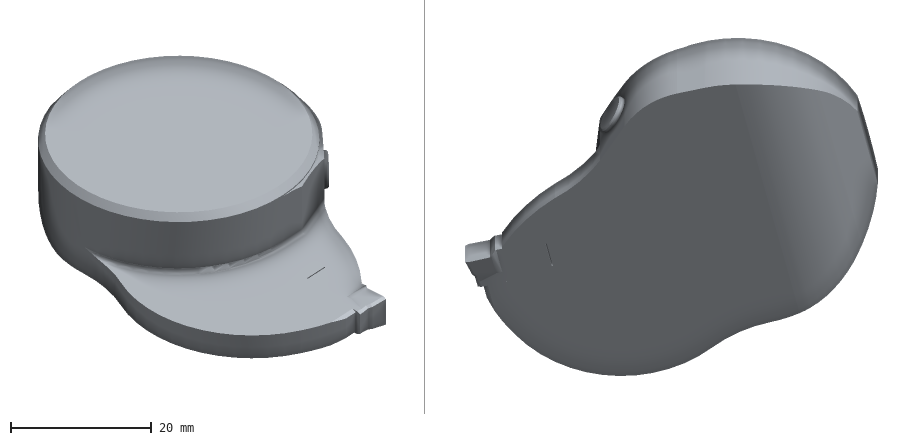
import cadquery as cq
import math

HOUSING_RADIUS = 20.0
HOUSING_HEIGHT = 13.8
RIM_CHAMFER = 1.0
REAR_FLAT_X = -19.0
REAR_FLAT_BOTTOM = 8.4
UNDERSIDE_RADIUS = 15.0

BULGE_STRAIGHT = 4.05
BULGE_ARC_RADIUS = 12.0
BULGE_CORNER_X = 17.3
BULGE_RIM_HEIGHT = 12.6

BOSS_DIAMETER = 5.5
BOSS_PROJECTION = 0.75
BOSS_CHAMFER = 0.25

PLATE_THICKNESS = 4.0
LOBE_Y = -4.3
SEAM_FILLET = 0.7
NOSE_X = 38.3
NOSE_BLEND_X = 35.75
NOSE_BLEND_MID = (37.2, -10.35)
NOSE_FLAT_Y = -6.75
NOSE_BEVEL_RUN = 0.65
NOSE_BEVEL_RISE = 0.3
SHOULDER_MID = (20.6, 9.25)
SHOULDER_INFLECTION = (25.0, 7.2)
SHOULDER_CROWN = (30.0, 4.5)
SHOULDER_END = (34.2, 1.0)

INSERT_BACK_X = 28.05
BACK_CLEARANCE = 0.2
INSERT_TOP_Y = 0.3
INSERT_BOTTOM_Y = -4.7
INSERT_END_X = 39.1
BACK_CORNER = (1.05, 1.1)
BACK_TOP_BEVEL = (1.2, 0.2)
BREAKER_START_X = 34.2
BREAKER_END_X = 35.3
BREAKER_TOP_Y = 0.75
RAKE_START_X = 36.15
RAKE_Y = 0.0
RELIEF_KNEE = (39.4, -2.35)
RELIEF_FOOT_Y = -2.95
TIP_X = 39.8

HEAD_RAMP_X = 35.1
HEAD_START_X = 36.0
HEAD_START_HALF_WIDTH = 2.4
HEAD_TIP_HALF_WIDTH = 2.5
HEAD_START_FLUSH_Y = -3.0
HEAD_TIP_FLUSH_Y = -4.2
TIP_BEVEL_RUN = 0.5
TIP_BEVEL_RISE = 0.3

MID_PLANE_Z = PLATE_THICKNESS / 2
DIAGONAL = math.sqrt(0.5)

CONCAVE_Y = -2 * HOUSING_RADIUS
LOBE_X = math.sqrt((2 * HOUSING_RADIUS) ** 2 - (LOBE_Y - CONCAVE_Y) ** 2)

BULGE_ARC_Y = HOUSING_RADIUS - BULGE_ARC_RADIUS
BULGE_FLAT_X = BULGE_STRAIGHT + BULGE_ARC_RADIUS * DIAGONAL
BULGE_FLAT_Y = BULGE_ARC_Y + BULGE_ARC_RADIUS * DIAGONAL
BULGE_CORNER = (BULGE_CORNER_X, BULGE_FLAT_X + BULGE_FLAT_Y - BULGE_CORNER_X)
BULGE_FLAT_DISTANCE = (BULGE_FLAT_X + BULGE_FLAT_Y) * DIAGONAL


def point_on_circle(x, y, radius, degrees):
    angle = math.radians(degrees)
    return (x + radius * math.cos(angle), y + radius * math.sin(angle))


def housing_footprint():
    """Circle with its +X+Y quarter swollen out to a 45-degree flat."""
    arc_mid = point_on_circle(BULGE_STRAIGHT, BULGE_ARC_Y, BULGE_ARC_RADIUS, 67.5)
    return (
        cq.Workplane("XY")
        .moveTo(0, -HOUSING_RADIUS)
        .threePointArc((-HOUSING_RADIUS, 0), (0, HOUSING_RADIUS))
        .lineTo(BULGE_STRAIGHT, HOUSING_RADIUS)
        .threePointArc(arc_mid, (BULGE_FLAT_X, BULGE_FLAT_Y))
        .lineTo(*BULGE_CORNER)
        .lineTo(HOUSING_RADIUS, BULGE_STRAIGHT)
        .lineTo(HOUSING_RADIUS, 0)
        .threePointArc(point_on_circle(0, 0, HOUSING_RADIUS, -45), (0, -HOUSING_RADIUS))
        .close()
    )


def make_housing_body():
    drum = cq.Workplane("XY").circle(HOUSING_RADIUS).extrude(HOUSING_HEIGHT)
    drum = drum.faces(">Z").chamfer(RIM_CHAMFER)
    cone_base_radius = HOUSING_RADIUS + BULGE_RIM_HEIGHT
    cone = cq.Workplane("XZ").polyline([(0, 0), (cone_base_radius, 0), (0, cone_base_radius)]).close()
    cone = cone.revolve(360, (0, 0), (0, 1))
    bulge = housing_footprint().extrude(BULGE_RIM_HEIGHT).intersect(cone)
    return drum.union(bulge)


def make_boss():
    plane = cq.Plane(origin=(0, 0, HOUSING_HEIGHT / 2), xDir=(0, 0, 1), normal=(1, 1, 0))
    length = BULGE_FLAT_DISTANCE + BOSS_PROJECTION
    boss = cq.Workplane(plane).circle(BOSS_DIAMETER / 2).extrude(length)
    return boss.faces(cq.selectors.DirectionMinMaxSelector(cq.Vector(1, 1, 0))).chamfer(BOSS_CHAMFER)


def plate_column():
    """Plate outline, extruded past the fillet that rises from it."""
    blend_start_y = LOBE_Y - math.sqrt(HOUSING_RADIUS**2 - (NOSE_BLEND_X - LOBE_X) ** 2)
    inflection = (LOBE_X / 2, (LOBE_Y + CONCAVE_Y) / 2)
    half_turn = math.degrees(math.atan2(LOBE_X, LOBE_Y - CONCAVE_Y)) / 2
    concave_mid = point_on_circle(0, CONCAVE_Y, HOUSING_RADIUS, 90 - half_turn)
    outline = (
        cq.Workplane("XY")
        .moveTo(0, 0)
        .lineTo(0, -HOUSING_RADIUS)
        .threePointArc(concave_mid, inflection)
        .threePointArc(point_on_circle(LOBE_X, LOBE_Y, HOUSING_RADIUS, -75), (NOSE_BLEND_X, blend_start_y))
        .threePointArc(NOSE_BLEND_MID, (NOSE_X, NOSE_FLAT_Y))
        .lineTo(NOSE_X, INSERT_BOTTOM_Y)
        .lineTo(SHOULDER_END[0], INSERT_BOTTOM_Y)
        .lineTo(*SHOULDER_END)
        .threePointArc(SHOULDER_CROWN, SHOULDER_INFLECTION)
        .threePointArc(SHOULDER_MID, BULGE_CORNER)
        .close()
    )
    return outline.extrude(PLATE_THICKNESS + SEAM_FILLET)


def bevel_nose(plate):
    """Bevel the upper and lower edges of the flat end of the plate."""
    for edge_z, inward in ((0, 1), (PLATE_THICKNESS, -1)):
        wedge = (
            cq.Workplane("XZ")
            .polyline([
                (NOSE_X, edge_z),
                (NOSE_X - NOSE_BEVEL_RUN, edge_z),
                (NOSE_X, edge_z + inward * NOSE_BEVEL_RISE),
            ])
            .close()
            .extrude(HOUSING_RADIUS)
        )
        plate = plate.cut(wedge)
    return plate


def make_plate():
    """Plate with the fillet that joins it to the housing wall."""
    slab_side = 8 * HOUSING_RADIUS
    blank = cq.Workplane("XY").box(slab_side, slab_side, PLATE_THICKNESS, centered=(True, True, False))
    blank = blank.union(housing_footprint().extrude(HOUSING_HEIGHT))
    reach = 2 * HOUSING_RADIUS
    seam = cq.selectors.BoxSelector(
        (-reach, -reach, PLATE_THICKNESS - SEAM_FILLET),
        (reach, reach, PLATE_THICKNESS + SEAM_FILLET),
        boundingbox=True,
    )
    blank = blank.edges(seam).fillet(SEAM_FILLET)
    return bevel_nose(blank.intersect(plate_column()))


def cut_rear_relief(holder):
    """Rear flat, then a 45-degree underside that curves tangentially into the bottom."""
    line_sum = REAR_FLAT_X + REAR_FLAT_BOTTOM
    arc_x = line_sum - UNDERSIDE_RADIUS + UNDERSIDE_RADIUS / DIAGONAL
    arc_start = point_on_circle(arc_x, UNDERSIDE_RADIUS, UNDERSIDE_RADIUS, 225)
    arc_mid = point_on_circle(arc_x, UNDERSIDE_RADIUS, UNDERSIDE_RADIUS, 247.5)
    outside_x = -2 * HOUSING_RADIUS
    relief = (
        cq.Workplane("XZ")
        .moveTo(outside_x, 0)
        .lineTo(arc_x, 0)
        .threePointArc(arc_mid, arc_start)
        .lineTo(REAR_FLAT_X, REAR_FLAT_BOTTOM)
        .lineTo(REAR_FLAT_X, HOUSING_HEIGHT)
        .lineTo(outside_x, HOUSING_HEIGHT)
        .close()
        .extrude(2 * HOUSING_RADIUS, both=True)
    )
    return holder.cut(relief)


def insert_outline():
    return cq.Workplane("XY").polyline([
        (INSERT_BACK_X, INSERT_BOTTOM_Y + BACK_CORNER[1]),
        (INSERT_BACK_X + BACK_CORNER[0], INSERT_BOTTOM_Y),
        (INSERT_END_X, INSERT_BOTTOM_Y),
        (INSERT_END_X, RELIEF_FOOT_Y),
        RELIEF_KNEE,
        (TIP_X, RAKE_Y),
        (RAKE_START_X, RAKE_Y),
        (BREAKER_END_X, BREAKER_TOP_Y),
        (BREAKER_START_X, BREAKER_TOP_Y),
        (BREAKER_START_X, INSERT_TOP_Y),
        (INSERT_BACK_X + BACK_TOP_BEVEL[0], INSERT_TOP_Y),
        (INSERT_BACK_X, INSERT_TOP_Y - BACK_TOP_BEVEL[1]),
    ]).close()


def head_section(x, half_width, flush_y):
    """Section across X: full width above the rake face, plate thickness at flush_y."""
    half_plate = PLATE_THICKNESS / 2
    slope = (half_width - half_plate) / (RAKE_Y - flush_y)
    top_half_width = half_width + slope * (BREAKER_TOP_Y - RAKE_Y)
    points = [
        (BREAKER_TOP_Y, top_half_width),
        (flush_y, half_plate),
        (flush_y, -half_plate),
        (BREAKER_TOP_Y, -top_half_width),
    ]
    return cq.Wire.makePolygon([cq.Vector(x, y, MID_PLANE_Z + z) for y, z in points], close=True)


def tip_bevel():
    """Wedge along the upper corner of the front end, following its flank and relief."""
    taper = (HEAD_TIP_HALF_WIDTH - PLATE_THICKNESS / 2) / (RAKE_Y - HEAD_TIP_FLUSH_Y)
    front_end = [
        (TIP_X, RAKE_Y),
        RELIEF_KNEE,
        (INSERT_END_X, RELIEF_FOOT_Y),
        (INSERT_END_X, HEAD_TIP_FLUSH_Y),
        (INSERT_END_X, INSERT_BOTTOM_Y),
    ]
    sections = []
    for x, y in front_end:
        z = PLATE_THICKNESS + max(0, taper * (y - HEAD_TIP_FLUSH_Y))
        sections.append(cq.Wire.makePolygon([
            cq.Vector(x - 2 * TIP_BEVEL_RUN, y, z + TIP_BEVEL_RISE),
            cq.Vector(x + TIP_BEVEL_RUN, y, z - 2 * TIP_BEVEL_RISE),
            cq.Vector(x + TIP_BEVEL_RUN, y, z + TIP_BEVEL_RISE),
        ], close=True))
    return cq.Workplane(cq.Solid.makeLoft(sections, True))


def make_insert():
    body = insert_outline().extrude(PLATE_THICKNESS)
    ramp = head_section(HEAD_RAMP_X, PLATE_THICKNESS / 2, HEAD_START_FLUSH_Y)
    start = head_section(HEAD_START_X, HEAD_START_HALF_WIDTH, HEAD_START_FLUSH_Y)
    tip = head_section(TIP_X, HEAD_TIP_HALF_WIDTH, HEAD_TIP_FLUSH_Y)
    head = cq.Workplane(cq.Solid.makeLoft([ramp, start, tip], True))
    column = insert_outline().extrude(HOUSING_HEIGHT, both=True)
    upper_bevel = tip_bevel()
    lower_bevel = upper_bevel.mirror("XY", (0, 0, MID_PLANE_Z))
    return body.union(head.intersect(column)).cut(upper_bevel).cut(lower_bevel)


def insert_pocket():
    """Slot that fits the insert, with a narrow gap behind its back end."""
    back_bottom = INSERT_BOTTOM_Y + BACK_CORNER[1]
    back_top = INSERT_TOP_Y - BACK_TOP_BEVEL[1]
    gap = cq.Workplane("XY").box(
        BACK_CLEARANCE, back_top - back_bottom, PLATE_THICKNESS, centered=(False, False, False)
    )
    gap = gap.translate((INSERT_BACK_X - BACK_CLEARANCE, back_bottom, 0))
    return insert_outline().extrude(PLATE_THICKNESS).union(gap)


def make_holder():
    holder = make_housing_body().union(make_plate()).union(make_boss())
    return cut_rear_relief(holder).cut(insert_pocket())


holder = make_holder()
insert = make_insert()

result = cq.Compound.makeCompound([holder.val(), insert.val()])